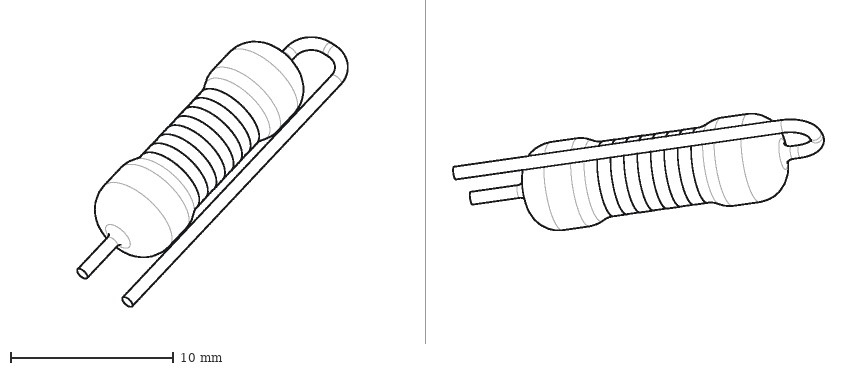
import cadquery as cq
import math

total_length = 23.1
total_width = 6.65

cap_radius = 5.5 / 2
waist_radius = 4.67 / 2
band_radius = 4.7 / 2
body_start = 3.58
body_length = 16.5
dome_radius = 1.9
cap_straight = 1.73
shoulder_length = 1.6

slot_count = 7

lead_radius = 0.8 / 2
flare_radius = 0.55
bend_radius = 1.57

body_end = body_start + body_length
body_middle = body_start + body_length / 2
cap_start = body_length / 2 - dome_radius
shoulder_start = cap_start - cap_straight
waist_half = shoulder_start - shoulder_length
return_x = total_width - cap_radius - lead_radius
bend_y = total_length - bend_radius - lead_radius


def end_profile():
    """Outline of one body end from the waist to the lead, as (radius, distance from the body middle)."""
    diagonal = math.sqrt(0.5)

    half_step = (cap_radius - waist_radius) / 2
    half_run = shoulder_length / 2
    shoulder_radius = (half_run**2 + half_step**2) / (2 * half_step)
    shoulder_middle = (waist_radius + half_step, waist_half + half_run)

    dome_center_radius = cap_radius - dome_radius
    foot_radius = lead_radius + flare_radius
    foot_y = cap_start + math.sqrt(dome_radius**2 - (foot_radius - dome_center_radius) ** 2)
    flare_top = foot_y + flare_radius
    flare_middle = (foot_radius - flare_radius * diagonal, flare_top - flare_radius * diagonal)
    dome_middle = (dome_center_radius + dome_radius * diagonal, cap_start + dome_radius * diagonal)

    quarter_run = half_run / 2
    arc_sag = shoulder_radius - math.sqrt(shoulder_radius**2 - quarter_run**2)
    return (
        cq.Workplane("XY")
        .moveTo(0, waist_half)
        .lineTo(waist_radius, waist_half)
        .threePointArc((waist_radius + arc_sag, waist_half + quarter_run), shoulder_middle)
        .threePointArc((cap_radius - arc_sag, shoulder_start - quarter_run), (cap_radius, shoulder_start))
        .lineTo(cap_radius, cap_start)
        .threePointArc(dome_middle, (foot_radius, foot_y))
        .threePointArc(flare_middle, (lead_radius, flare_top))
        .lineTo(0, flare_top)
        .close()
    )


def make_body():
    end = end_profile().revolve(360, (0, 0), (0, 1)).translate((0, body_middle, 0))
    body = end.union(end.mirror("XZ", (0, body_middle, 0)))
    slot_length = 2 * waist_half / slot_count
    for slot in range(slot_count):
        radius = band_radius if slot % 2 == 0 else waist_radius
        slot_start = body_middle - waist_half + slot * slot_length
        body = body.union(cylinder_along_y(radius, slot_start, slot_length))
    return body


def cylinder_along_y(radius, start, length):
    solid = cq.Solid.makeCylinder(radius, length, cq.Vector(0, start, 0), cq.Vector(0, 1, 0))
    return cq.Workplane(obj=solid)


def make_bent_lead():
    """Lead leaving the far end, turning back beside the body to the plane Y = 0."""
    reach = bend_radius * math.sqrt(0.5)
    path = (
        cq.Workplane("XY")
        .moveTo(0, body_end)
        .lineTo(0, bend_y)
        .threePointArc((bend_radius - reach, bend_y + reach), (bend_radius, bend_y + bend_radius))
        .lineTo(return_x - bend_radius, bend_y + bend_radius)
        .threePointArc((return_x - bend_radius + reach, bend_y + reach), (return_x, bend_y))
        .lineTo(return_x, 0)
    )
    return cq.Workplane("XZ", origin=(0, body_end, 0)).circle(lead_radius).sweep(path)


straight_lead = cylinder_along_y(lead_radius, 0, body_start)
result = make_body().union(straight_lead).union(make_bent_lead())